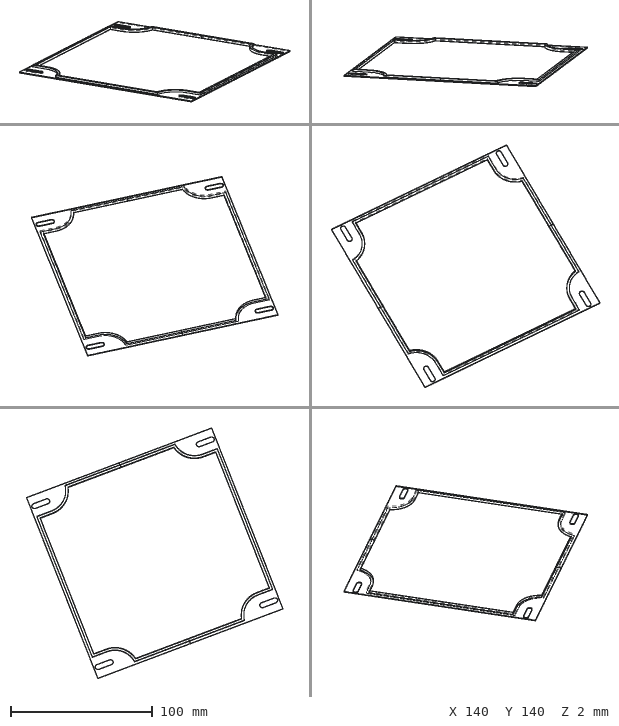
import cadquery as cq
import math

side = 140.0
half_side = side / 2
plate_thickness = 0.7
total_height = 2.0

opening_margin = 3.6
rim_width = 1.8

pad_depth = 17.4
arc_center_inset = 13.0
arc_middle_angle = math.radians(225)

slot_length = 13.2
slot_width = 3.6
slot_inset_x = 7.8
slot_inset_y = 7.7


def corner_pad(reduction):
    """Full-height prism of the +X +Y pad, its inner outline drawn back by the reduction."""
    radius = pad_depth - reduction
    center_x = half_side - arc_center_inset
    arc_middle = (
        center_x + radius * math.cos(arc_middle_angle),
        half_side + radius * math.sin(arc_middle_angle),
    )
    return (
        cq.Workplane("XY")
        .moveTo(half_side, half_side)
        .lineTo(half_side, half_side - radius)
        .lineTo(center_x, half_side - radius)
        .threePointArc(arc_middle, (center_x - radius, half_side))
        .close()
        .extrude(total_height)
    )


def opening(growth):
    """Full-height prism of the opening, with its outline moved outward by the growth."""
    width = side - 2 * (opening_margin - growth)
    pad = corner_pad(growth)
    right_pads = pad.union(pad.mirror("XZ"))
    left_pads = right_pads.mirror("YZ")
    return cq.Workplane("XY").rect(width, width).extrude(total_height).cut(right_pads).cut(left_pads)


def corner_slots():
    """Four slot-shaped cutters, one through each pad."""
    return (
        cq.Workplane("XY")
        .rarray(side - 2 * slot_inset_x, side - 2 * slot_inset_y, 2, 2)
        .slot2D(slot_length, slot_width)
        .extrude(total_height)
    )


def square_frame():
    """Thin slotted plate with a raised rim of constant width around its opening."""
    plate = cq.Workplane("XY").rect(side, side).extrude(plate_thickness)
    rim_block = opening(rim_width)
    return plate.union(rim_block).cut(opening(0)).cut(corner_slots())


def frame_half(direction):
    """The half of the frame on the +X (direction 1) or -X (direction -1) side of X = 0."""
    half_space = (
        cq.Workplane("XY")
        .center(direction * half_side / 2, 0)
        .rect(half_side, side)
        .extrude(total_height)
    )
    return square_frame().intersect(half_space)


frame_halves = [frame_half(direction).val() for direction in (-1, 1)]

result = cq.Compound.makeCompound(frame_halves)